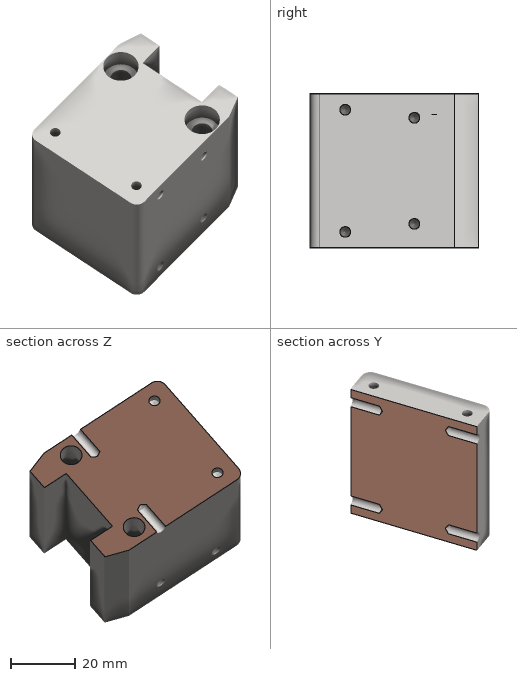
import cadquery as cq
import math

WIDTH = 44.0
LENGTH = 52.5
HEIGHT = 48.0
FRONT_CORNER_RADIUS = 3.0

NOTCH_WIDTH = 23.7
NOTCH_DEPTH = 8.5
TAPER_INSET = 2.6
TAPER_LENGTH = 7.5

PATTERN_PITCH = 32.5
FRONT_ROW_Y = 6.25
REAR_ROW_Y = FRONT_ROW_Y + PATTERN_PITCH
CLEARANCE_DIAMETER = 6.6
COUNTERBORE_DIAMETER = 11.0
COUNTERBORE_DEPTH = 6.5

TAP_DIAMETER = 3.3
TAP_DEPTH = 10.0
DRILL_POINT_ANGLE = 118.0

REAR_PAIR_Y = LENGTH - 20.0
REAR_PAIR_PITCH = 33.0
FRONT_PAIR_Y = LENGTH - 41.5
FRONT_PAIR_PITCH = 38.0


def make_block():
    """Notched outline with tapered rear arms and rounded front corners."""
    half_width = WIDTH / 2
    half_notch = NOTCH_WIDTH / 2
    right_outline = [
        (half_width, 0),
        (half_width, LENGTH - TAPER_LENGTH),
        (half_width - TAPER_INSET, LENGTH),
        (half_notch, LENGTH),
        (half_notch, LENGTH - NOTCH_DEPTH),
    ]
    left_outline = [(-x, y) for x, y in reversed(right_outline)]
    block = cq.Workplane("XY").polyline(right_outline + left_outline).close().extrude(HEIGHT)
    return block.edges("|Z and <Y").fillet(FRONT_CORNER_RADIUS)


def make_drill(entry, direction):
    """Blind tapping hole starting at entry and running along direction."""
    radius = TAP_DIAMETER / 2
    point_length = radius / math.tan(math.radians(DRILL_POINT_ANGLE / 2))
    start = cq.Vector(*entry)
    axis = cq.Vector(*direction)
    cylinder = cq.Solid.makeCylinder(radius, TAP_DEPTH, start, axis)
    point = cq.Solid.makeCone(radius, 0, point_length, start + axis * TAP_DEPTH, axis)
    return cylinder.fuse(point)


def cut_counterbored_holes(body):
    centres = [(side * PATTERN_PITCH / 2, REAR_ROW_Y) for side in (-1, 1)]
    return (
        body.faces(">Z")
        .workplane(origin=(0, 0, HEIGHT))
        .pushPoints(centres)
        .cboreHole(CLEARANCE_DIAMETER, COUNTERBORE_DIAMETER, COUNTERBORE_DEPTH)
    )


def cut_top_tapping_holes(body):
    for side in (-1, 1):
        body = body.cut(make_drill((side * PATTERN_PITCH / 2, FRONT_ROW_Y, HEIGHT), (0, 0, -1)))
    return body


def cut_side_tapping_holes(body):
    """The upper rear holes break into the counterbores."""
    for side in (-1, 1):
        for y, pitch in ((REAR_PAIR_Y, REAR_PAIR_PITCH), (FRONT_PAIR_Y, FRONT_PAIR_PITCH)):
            for level in (-1, 1):
                entry = (side * WIDTH / 2, y, HEIGHT / 2 + level * pitch / 2)
                body = body.cut(make_drill(entry, (-side, 0, 0)))
    return body


result = make_block()
result = cut_counterbored_holes(result)
result = cut_top_tapping_holes(result)
result = cut_side_tapping_holes(result)